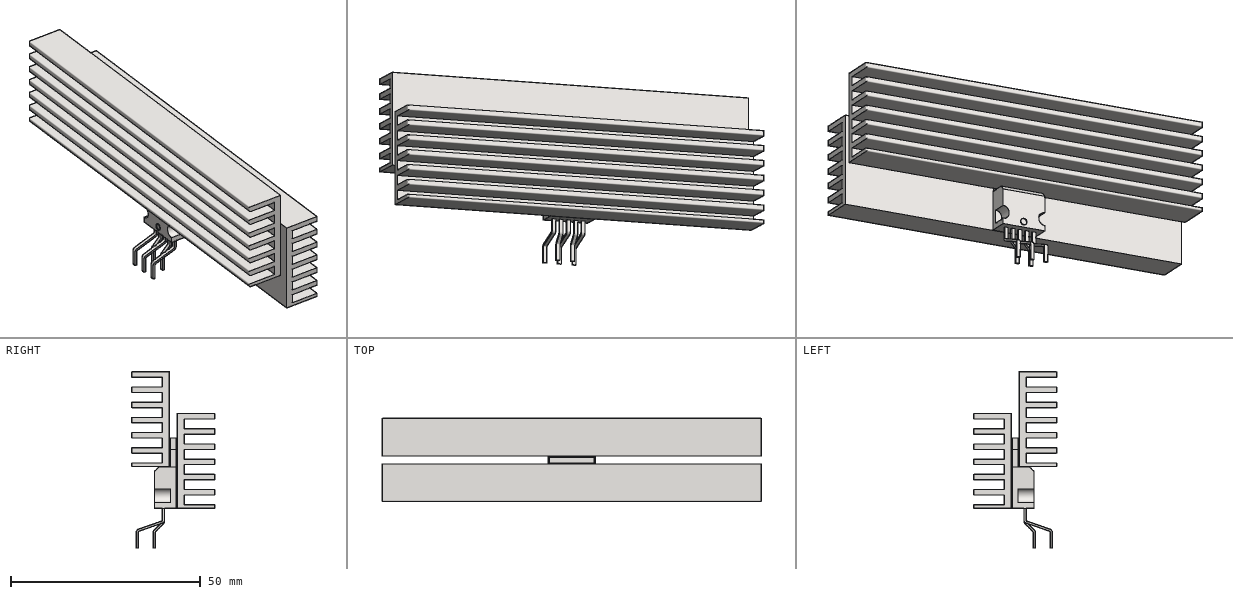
import cadquery as cq


sink_length = 100.0
sink_height = 25.0
sink_depth = 10.0
plate_thickness = 1.9
fin_thickness = 1.5
fin_pitch = 4.0
fin_count = 7
fin_tip_radius = 0.3
sink_gap = 2.0
front_sink_rise = 11.0

case_width = 12.4
case_height = 10.9
case_front_y = -5.0
case_bevel = 1.2
notch_diameter = 3.6
notch_z = 3.3
dot_diameter = 1.8
dot_z = 1.6
dot_depth = 0.3

tab_thickness = 1.5
tab_top_z = 18.6
tab_shoulder_z = 15.5
tab_shoulder_width = 12.1
tab_top_width = 11.8
tab_back_y = tab_thickness / 2
tab_front_y = -tab_thickness / 2

lead_count = 5
lead_row_span = 8.2
lead_pitch = lead_row_span / (lead_count - 1)
lead_width = 1.0
lead_thickness = 0.6
lead_bend_radius = 0.7
lead_start_y = -2.6
lead_bottom_z = -10.5
long_lead_y = -9.5
long_lead_bends_z = (-3.5, -5.9)
short_lead_y = -5.0
short_lead_bends_z = (-3.7, -6.1)


def centred_box(width, y_min, y_max, z_min, z_max):
    """Box centred on X = 0 between the given Y and Z limits."""
    box = cq.Workplane("XY").box(width, y_max - y_min, z_max - z_min)
    return box.translate((0, (y_min + y_max) / 2, (z_min + z_max) / 2))


def make_heatsink(fin_direction, base_z):
    """Heatsink whose fins point along +Y (fin_direction 1) or -Y (fin_direction -1)."""
    sink = centred_box(sink_length, 0, plate_thickness, 0, sink_height)
    for index in range(fin_count):
        fin_top = sink_height - index * fin_pitch
        fin_bottom = max(fin_top - fin_thickness, 0)
        fin = centred_box(sink_length, 0, sink_depth, fin_bottom, fin_top)
        sink = sink.union(fin.faces(">Y").edges().fillet(fin_tip_radius))
    if fin_direction < 0:
        sink = sink.mirror("XZ")
    return sink.translate((0, fin_direction * sink_gap / 2, base_z))


def make_tab():
    """Metal tab that rises from the case and narrows above its shoulders."""
    lower_tab = centred_box(tab_shoulder_width, tab_front_y, tab_back_y, case_height, tab_shoulder_z)
    upper_tab = centred_box(tab_top_width, tab_front_y, tab_back_y, tab_shoulder_z, tab_top_z)
    return lower_tab.union(upper_tab)


def make_case():
    """Moulded case with a bevelled top edge, two side notches and an index dot."""
    case = centred_box(case_width, case_front_y, tab_back_y, 0, case_height)
    case = case.faces("<Y").edges(">Z").chamfer(case_bevel)
    front_plane = cq.Workplane("XZ", origin=(0, case_front_y, 0))
    notch_spots = [(-case_width / 2, notch_z), (case_width / 2, notch_z)]
    notch_depth = tab_front_y - case_front_y
    notches = front_plane.pushPoints(notch_spots).circle(notch_diameter / 2).extrude(-notch_depth)
    dot = front_plane.center(0, dot_z).circle(dot_diameter / 2).extrude(-dot_depth)
    return case.cut(notches).cut(dot)


def make_lead(x, end_y, bends_z):
    """Cranked lead that runs from the case down to its free end at end_y."""
    upper_bend_z, lower_bend_z = bends_z
    corners = [
        cq.Vector(x, lead_start_y, 0),
        cq.Vector(x, lead_start_y, upper_bend_z),
        cq.Vector(x, end_y, lower_bend_z),
        cq.Vector(x, end_y, lead_bottom_z),
    ]
    centre_line = cq.Wire.makePolygon(corners).fillet(lead_bend_radius)
    section = cq.Workplane("XY", origin=(x, lead_start_y, 0)).rect(lead_width, lead_thickness)
    return section.sweep(cq.Workplane(centre_line))


def make_transistor():
    """Tab, case and leads as one solid; every second lead is a short one."""
    transistor = make_tab().union(make_case())
    for index in range(lead_count):
        x = index * lead_pitch - lead_row_span / 2
        if index % 2 == 0:
            lead = make_lead(x, long_lead_y, long_lead_bends_z)
        else:
            lead = make_lead(x, short_lead_y, short_lead_bends_z)
        transistor = transistor.union(lead)
    return transistor


rear_heatsink = make_heatsink(1, 0)
front_heatsink = make_heatsink(-1, front_sink_rise)
transistor = make_transistor()

result = cq.Compound.makeCompound([rear_heatsink.val(), front_heatsink.val(), transistor.val()])